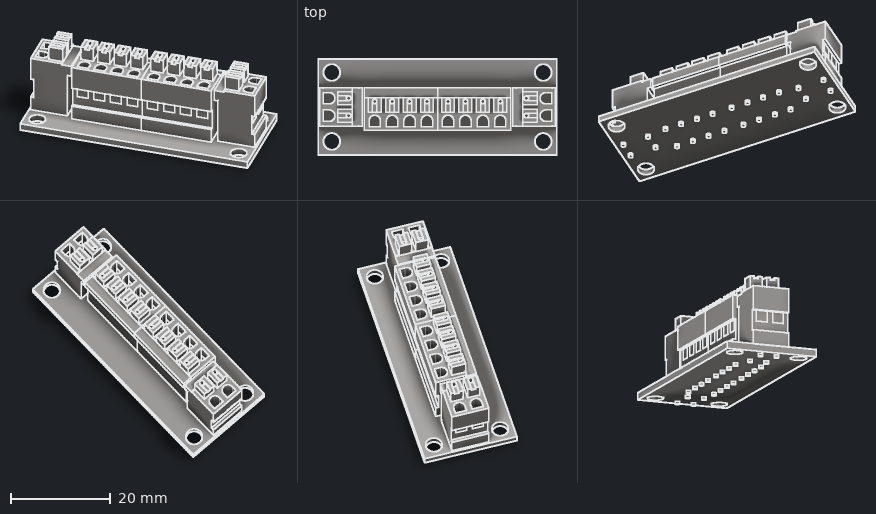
import cadquery as cq

BOARD_LENGTH = 47.9
BOARD_WIDTH = 19.3
BOARD_THICKNESS = 1.5
MOUNT_HOLE_DIAMETER = 3.3
MOUNT_HOLE_INSET = 2.75

POLE_PITCH = 3.5
END_MARGIN = 2.1
BLOCK_DEPTH = 8.55
BLOCK_HEIGHT = 12.05

NOTCH_DEPTH = 0.6
NOTCH_BOTTOM = 2.95
NOTCH_TOP = 7.2
LEDGE_DEPTH = 2.0
LEDGE_DROP = 0.3
OVERHANG = 0.75
OVERHANG_BOTTOM = 9.5

WIRE_HOLE_WIDTH = 2.3
WIRE_HOLE_INSET = 0.7
WIRE_HOLE_DEPTH = 7.1

BUTTON_WIDTH = 2.6
BUTTON_DEPTH = 2.9
BUTTON_HEIGHT = 2.9
BUTTON_REAR = BLOCK_DEPTH - LEDGE_DEPTH
SLOT_WIDTH = 0.9
SLOT_DEPTH = 0.5
SLOT_END_WALL = 0.3
TEST_HOLE_DEPTH = BUTTON_HEIGHT

PIN_DIAMETER = 0.9
PIN_PROTRUSION = 0.55
PIN_LENGTH = BOARD_THICKNESS + PIN_PROTRUSION
FRONT_PIN_Y = 1.45
REAR_PIN_Y = 6.95

CENTRE_POLES = 4
END_POLES = 2
END_BLOCK_INSET = 0.35


def block_width(poles):
    return (poles - 1) * POLE_PITCH + 2 * END_MARGIN


def pole_positions(poles):
    return [(i - (poles - 1) / 2) * POLE_PITCH for i in range(poles)]


def block_body(poles):
    """The stepped side profile, extruded over the width of the block."""
    rear_wall = BLOCK_DEPTH - OVERHANG
    ledge_top = BLOCK_HEIGHT - LEDGE_DROP
    profile = [
        (0, 0),
        (rear_wall, 0),
        (rear_wall, OVERHANG_BOTTOM),
        (BLOCK_DEPTH, OVERHANG_BOTTOM),
        (BLOCK_DEPTH, ledge_top),
        (BUTTON_REAR, ledge_top),
        (BUTTON_REAR, BLOCK_HEIGHT),
        (0, BLOCK_HEIGHT),
        (0, NOTCH_TOP),
        (NOTCH_DEPTH, NOTCH_TOP),
        (NOTCH_DEPTH, NOTCH_BOTTOM),
        (0, NOTCH_BOTTOM),
    ]
    return cq.Workplane("YZ").polyline(profile).close().extrude(block_width(poles) / 2, both=True)


def wire_hole(x):
    radius = WIRE_HOLE_WIDTH / 2
    arc_start = WIRE_HOLE_INSET + radius
    return (
        cq.Workplane("XY", origin=(x, 0, BLOCK_HEIGHT))
        .moveTo(-radius, WIRE_HOLE_INSET)
        .lineTo(radius, WIRE_HOLE_INSET)
        .lineTo(radius, arc_start)
        .threePointArc((0, arc_start + radius), (-radius, arc_start))
        .close()
        .extrude(-WIRE_HOLE_DEPTH)
    )


def button(x):
    """A release button with a slot open towards the wire side and a test hole at the slot's round end."""
    front = BUTTON_REAR - BUTTON_DEPTH
    radius = SLOT_WIDTH / 2
    arc_start = BUTTON_REAR - SLOT_END_WALL - radius
    block = (
        cq.Workplane("XY", origin=(x, BUTTON_REAR - BUTTON_DEPTH / 2, BLOCK_HEIGHT))
        .rect(BUTTON_WIDTH, BUTTON_DEPTH)
        .extrude(BUTTON_HEIGHT)
    )
    slot = (
        cq.Workplane("XY", origin=(x, 0, BLOCK_HEIGHT + BUTTON_HEIGHT))
        .moveTo(-radius, front)
        .lineTo(radius, front)
        .lineTo(radius, arc_start)
        .threePointArc((0, arc_start + radius), (-radius, arc_start))
        .close()
        .extrude(-SLOT_DEPTH)
    )
    test_hole = (
        cq.Workplane("XY", origin=(x, arc_start, BLOCK_HEIGHT + BUTTON_HEIGHT))
        .circle(radius)
        .extrude(-TEST_HOLE_DEPTH)
    )
    return block.cut(slot).cut(test_hole)


def pins(poles):
    places = [(x, y) for x in pole_positions(poles) for y in (FRONT_PIN_Y, REAR_PIN_Y)]
    return cq.Workplane("XY").pushPoints(places).circle(PIN_DIAMETER / 2).extrude(-PIN_LENGTH)


def terminal_block(poles):
    block = block_body(poles)
    for x in pole_positions(poles):
        block = block.union(button(x)).cut(wire_hole(x))
    return block.union(pins(poles))


def circuit_board(blocks):
    """The board, with a matching hole for every solder pin of the blocks."""
    board = (
        cq.Workplane("XY")
        .rect(BOARD_LENGTH, BOARD_WIDTH)
        .extrude(-BOARD_THICKNESS)
        .faces(">Z")
        .workplane()
        .rect(BOARD_LENGTH - 2 * MOUNT_HOLE_INSET, BOARD_WIDTH - 2 * MOUNT_HOLE_INSET, forConstruction=True)
        .vertices()
        .hole(MOUNT_HOLE_DIAMETER)
    )
    for block in blocks:
        board = board.cut(block)
    return board


centre_front = block_width(END_POLES) / 2 - BLOCK_DEPTH
centre_blocks = [
    terminal_block(CENTRE_POLES).translate((side * block_width(CENTRE_POLES) / 2, centre_front, 0))
    for side in (-1, 1)
]

end_blocks = [
    terminal_block(END_POLES)
    .translate((0, END_BLOCK_INSET - BOARD_LENGTH / 2, 0))
    .rotate((0, 0, 0), (0, 0, 1), side * 90)
    for side in (-1, 1)
]

blocks = centre_blocks + end_blocks
board = circuit_board(blocks)

result = cq.Compound.makeCompound([board.val(), *[block.val() for block in blocks]])